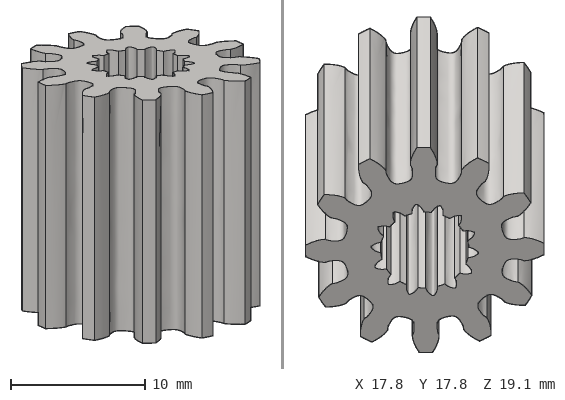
import cadquery as cq
import math

LENGTH = 19.05

TOOTH_COUNT = 12
DIAMETRAL_PITCH = 20
MILLIMETRES_PER_INCH = 25.4
MODULE = MILLIMETRES_PER_INCH / DIAMETRAL_PITCH
DEDENDUM = 1.25 * MODULE
PRESSURE_ANGLE = math.radians(14.5)
PITCH_RADIUS = TOOTH_COUNT * MODULE / 2
TIP_RADIUS = PITCH_RADIUS + MODULE
ROOT_RADIUS = PITCH_RADIUS - DEDENDUM
BASE_RADIUS = PITCH_RADIUS * math.cos(PRESSURE_ANGLE)
TOOTH_PITCH_ANGLE = 2 * math.pi / TOOTH_COUNT

UNDERCUT_RADIUS = 7.45
UNDERCUT_MIDDLE_X = 7.05
UNDERCUT_MIDDLE_HALF_WIDTH = 0.88
WAIST_X = 6.7
WAIST_HALF_WIDTH = 0.85
ROOT_CORNER_RADIUS = 0.63
INVOLUTE_POINTS = 6

GROOVE_COUNT = 14
GROOVE_PITCH_ANGLE = 2 * math.pi / GROOVE_COUNT
BORE_RADIUS = 3.285
GROOVE_DEPTH = 0.715
GROOVE_MOUTH_HALF_WIDTH = 0.45
GROOVE_MIDDLE_HALF_WIDTH = 0.33
GROOVE_NOSE_HALF_WIDTH = 0.145
GROOVE_NOSE_LENGTH = 0.1


def polar(radius, angle):
    """Point at the given radius and angle (radians) about the axis."""
    return (radius * math.cos(angle), radius * math.sin(angle))


def rotate(point, angle):
    """Point turned about the axis by an angle in radians."""
    x, y = point
    return (x * math.cos(angle) - y * math.sin(angle), x * math.sin(angle) + y * math.cos(angle))


def rotate_all(points, angle):
    """List of points turned about the axis by an angle in radians."""
    return [rotate(point, angle) for point in points]


def mirror(point):
    """Point reflected across the X axis."""
    return (point[0], -point[1])


def involute_function(angle):
    """Angle unrolled by an involute where its pressure angle is the given angle."""
    return math.tan(angle) - angle


def tooth_half_angle(radius):
    """Half the angle that a tooth spans at a radius, between its involute flanks."""
    local_pressure_angle = math.acos(BASE_RADIUS / radius)
    narrowing = involute_function(local_pressure_angle) - involute_function(PRESSURE_ANGLE)
    return TOOTH_PITCH_ANGLE / 4 - narrowing


def involute_flank():
    """Points of the upper flank of the tooth on the +X axis, from the undercut to the tip."""
    step = (TIP_RADIUS - UNDERCUT_RADIUS) / (INVOLUTE_POINTS - 1)
    radii = [UNDERCUT_RADIUS + i * step for i in range(INVOLUTE_POINTS)]
    return [polar(radius, tooth_half_angle(radius)) for radius in radii]


def half_tooth_gap():
    """Points of the gap beside the upper flank, from the undercut edge to the root circle."""
    undercut_edge = polar(UNDERCUT_RADIUS, tooth_half_angle(UNDERCUT_RADIUS))
    undercut_middle = (UNDERCUT_MIDDLE_X, UNDERCUT_MIDDLE_HALF_WIDTH)
    waist = (WAIST_X, WAIST_HALF_WIDTH)

    center_y = WAIST_HALF_WIDTH + ROOT_CORNER_RADIUS
    center_distance = ROOT_RADIUS + ROOT_CORNER_RADIUS
    center_angle = math.asin(center_y / center_distance)
    center_x = center_distance * math.cos(center_angle)
    corner_start = (center_x, WAIST_HALF_WIDTH)
    corner_end = polar(ROOT_RADIUS, center_angle)
    waist_side_angle = 1.5 * math.pi
    root_side_angle = math.pi + center_angle
    corner_middle_angle = (waist_side_angle + root_side_angle) / 2
    offset_x, offset_y = polar(ROOT_CORNER_RADIUS, corner_middle_angle)
    corner_middle = (center_x + offset_x, center_y + offset_y)
    return [undercut_edge, undercut_middle, waist, corner_start, corner_middle, corner_end]


def gear_outline():
    """Closed outline of the gear, one tooth and the following tooth gap at a time."""
    flank = involute_flank()
    near_side = half_tooth_gap()
    far_side = rotate_all([mirror(point) for point in reversed(near_side)], TOOTH_PITCH_ANGLE)
    lower_flank = [mirror(point) for point in flank]
    upper_flank = flank[::-1]
    gap = near_side + far_side

    outline = cq.Workplane("XY").moveTo(*lower_flank[0])
    for tooth in range(TOOTH_COUNT):
        turn = tooth * TOOTH_PITCH_ANGLE
        outline = (
            outline.spline(rotate_all(lower_flank[1:], turn), includeCurrent=True)
            .threePointArc(polar(TIP_RADIUS, turn), rotate(upper_flank[0], turn))
            .spline(rotate_all(upper_flank[1:], turn), includeCurrent=True)
            .spline(rotate_all(gap[1:], turn), includeCurrent=True)
        )
    return outline.close()


def bore_outline():
    """Closed outline of the splined bore, one groove and the following land at a time."""
    mouth = polar(BORE_RADIUS, math.asin(GROOVE_MOUTH_HALF_WIDTH / BORE_RADIUS))
    middle = (BORE_RADIUS + GROOVE_DEPTH / 2, GROOVE_MIDDLE_HALF_WIDTH)
    groove_bottom = (BORE_RADIUS + GROOVE_DEPTH, 0)
    nose = (groove_bottom[0] - GROOVE_NOSE_LENGTH, GROOVE_NOSE_HALF_WIDTH)
    groove = [mirror(mouth), mirror(middle), mirror(nose), groove_bottom, nose, middle, mouth]
    next_groove_start = rotate(groove[0], GROOVE_PITCH_ANGLE)
    land_middle = polar(BORE_RADIUS, GROOVE_PITCH_ANGLE / 2)

    outline = cq.Workplane("XY").moveTo(*groove[0])
    for index in range(GROOVE_COUNT):
        turn = index * GROOVE_PITCH_ANGLE
        outline = outline.spline(rotate_all(groove[1:], turn), includeCurrent=True).threePointArc(
            rotate(land_middle, turn), rotate(next_groove_start, turn)
        )
    return outline.close()


gear = gear_outline().extrude(LENGTH)
bore = bore_outline().extrude(LENGTH)
result = gear.cut(bore)